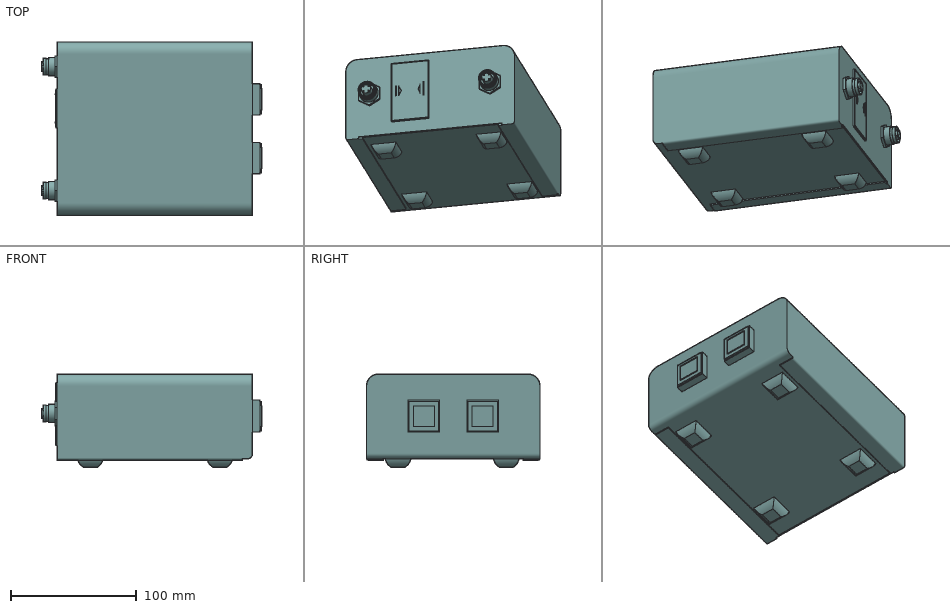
import cadquery as cq

overall_length = 176.0
overall_height = 74.5
x_min = -overall_length / 2
x_max = overall_length / 2
z_top = overall_height / 2
z_feet = -overall_height / 2

body_left = -75.3
body_right = 80.3
body_width = 138.3
top_edge_radius = 9.5
rear_bend_radius = 4.0
base_z = -30.5

flange_z = -31.5
flange_bend_radius = 1.8
flange_inner_y = 55.6
flange_right = 72.2
panel_thickness = 1.0
panel_notch_half_width = 58.8
panel_notch_z = -30.0

foot_x_positions = (-49.0, 54.2)
foot_y_positions = (42.2, -44.0)
foot_base_half_width = 10.2
foot_mid_half_width = 9.0
foot_tip_half_width = 5.3
foot_mid_z = -33.6

connector_y_positions = (49.5, -49.3)
connector_z = 5.8
nut_across_flats = 17.0
nut_face_x = -77.3
collar_diameter = 14.8
collar_face_x = -82.2
groove_diameter = 13.0
groove_end_x = -84.1
sleeve_diameter = 13.5
sleeve_face_x = -86.6
socket_diameter = 12.0
socket_depth = 5.3
insert_diameter = 8.0
key_width = 1.8
key_depth = 0.7
pin_hole_diameter = 1.2
pin_hole_depth = 1.8
pin_spacing = 4.4

plate_width = 31.0
plate_height = 50.3
plate_thickness = 1.4
plate_rim_width = 0.7
plate_rim_thickness = 1.0
plate_face_x = body_left - plate_thickness
plate_corner_radius = 1.0
plate_y = 16.2
plate_z = 5.3
mark_z = 6.0
bar_width = 0.7
bar_height = 0.5
left_bar_y = 27.5
left_bar_length = 8.1
right_bar_y = 5.0
right_bar_length = 11.5
arrow_half_height = 4.0
arrow_depth = 0.2
left_arrow_base_y = 25.3
left_arrow_tip_y = 23.2
right_arrow_base_y = 7.7
right_arrow_tip_y = 9.3

block_y_positions = (23.4, -23.4)
block_z = 3.7
block_steps = (
    (25.0, 25.7, 86.0),
    (23.5, 23.5, 87.3),
    (16.9, 16.2, x_max),
)


def box_between(x_range, y_range, z_range):
    """Axis-aligned box spanning the given coordinate ranges."""
    spans = [high - low for low, high in (x_range, y_range, z_range)]
    corner = (x_range[0], y_range[0], z_range[0])
    return cq.Workplane("XY").box(*spans, centered=False).translate(corner)


def cylinder_along_x(diameter, x_start, x_end, y, z):
    """Cylinder parallel to X between two X positions."""
    plane = cq.Workplane("YZ", origin=(x_start, y, z))
    return plane.circle(diameter / 2).extrude(x_end - x_start)


def make_enclosure():
    """Case with rounded top edges and side flanges folded under its base."""
    half_width = body_width / 2
    body = box_between((body_left, body_right), (-half_width, half_width), (flange_z, z_top))
    body = body.edges("|X and >Z").fillet(top_edge_radius)
    body = body.edges("|X and <Z").fillet(flange_bend_radius)
    panel_back = body_left + panel_thickness
    body = body.cut(
        box_between(
            (body_left, panel_back),
            (-panel_notch_half_width, panel_notch_half_width),
            (flange_z, panel_notch_z),
        )
    )
    body = body.cut(
        box_between((panel_back, body_right), (-flange_inner_y, flange_inner_y), (flange_z, base_z))
    )
    body = body.cut(
        box_between((flange_right, body_right), (-half_width, half_width), (flange_z, base_z))
    )
    lower_rear_edge = cq.selectors.NearestToPointSelector((body_right, 0, base_z))
    return body.edges(lower_rear_edge).fillet(rear_bend_radius)


def make_foot(x, y):
    """Square pad whose four sides curve inward toward a flat underside."""

    def rounded_bar(plane_name):
        return (
            cq.Workplane(plane_name)
            .moveTo(-foot_base_half_width, base_z)
            .lineTo(foot_base_half_width, base_z)
            .threePointArc((foot_mid_half_width, foot_mid_z), (foot_tip_half_width, z_feet))
            .lineTo(-foot_tip_half_width, z_feet)
            .threePointArc((-foot_mid_half_width, foot_mid_z), (-foot_base_half_width, base_z))
            .close()
            .extrude(foot_base_half_width, both=True)
        )

    return rounded_bar("XZ").intersect(rounded_bar("YZ")).translate((x, y, 0))


def make_connector(y):
    """Hexagon nut, stepped sleeve and a keyed insert with four pin holes."""
    z = connector_z
    nut = (
        cq.Workplane("YZ", origin=(body_left, y, z))
        .polygon(6, nut_across_flats, circumscribed=True)
        .extrude(nut_face_x - body_left)
    )
    collar = cylinder_along_x(collar_diameter, nut_face_x, collar_face_x, y, z)
    groove = cylinder_along_x(groove_diameter, collar_face_x, groove_end_x, y, z)
    sleeve = cylinder_along_x(sleeve_diameter, groove_end_x, sleeve_face_x, y, z)
    socket_floor = sleeve_face_x + socket_depth
    socket = cylinder_along_x(socket_diameter, sleeve_face_x, socket_floor, y, z)
    insert = cylinder_along_x(insert_diameter, socket_floor, x_min, y, z)
    insert_top = z + insert_diameter / 2
    key = box_between(
        (x_min, socket_floor),
        (y - key_width / 2, y + key_width / 2),
        (insert_top - key_depth, insert_top),
    )
    pin_holes = (
        cq.Workplane("YZ", origin=(x_min, y, z))
        .rect(pin_spacing, pin_spacing, forConstruction=True)
        .vertices()
        .circle(pin_hole_diameter / 2)
        .extrude(pin_hole_depth)
    )
    shell = nut.union(collar).union(groove).union(sleeve).cut(socket)
    return shell.union(insert.cut(key).cut(pin_holes))


def make_arrow(base_y, tip_y):
    """Triangular recess in the cover plate, pointing along Y."""
    outline = [
        (base_y, mark_z - arrow_half_height),
        (base_y, mark_z + arrow_half_height),
        (tip_y, mark_z),
    ]
    plane = cq.Workplane("YZ", origin=(plate_face_x, 0, 0))
    return plane.polyline(outline).close().extrude(arrow_depth)


def make_cover_plate():
    """Plate with a slightly smaller field standing proud of its rim."""
    center = cq.Workplane("YZ", origin=(body_left, plate_y, plate_z))
    rim = (
        center.rect(plate_width, plate_height)
        .extrude(-plate_rim_thickness)
        .edges("|X")
        .fillet(plate_corner_radius)
    )
    field = (
        center.rect(plate_width - 2 * plate_rim_width, plate_height - 2 * plate_rim_width)
        .extrude(-plate_thickness)
        .edges("|X")
        .fillet(plate_corner_radius - plate_rim_width)
    )
    plate = rim.union(field)
    for y, length in ((left_bar_y, left_bar_length), (right_bar_y, right_bar_length)):
        plane = cq.Workplane("YZ", origin=(plate_face_x, y, mark_z))
        plate = plate.union(plane.rect(bar_width, length).extrude(-bar_height))
    plate = plate.cut(make_arrow(left_arrow_base_y, left_arrow_tip_y))
    return plate.cut(make_arrow(right_arrow_base_y, right_arrow_tip_y))


def make_block(y):
    """Stack of rectangular steps, smaller away from the enclosure."""
    block = cq.Workplane("YZ")
    start_x = body_right
    for width, height, end_x in block_steps:
        plane = cq.Workplane("YZ", origin=(start_x, y, block_z))
        block = block.union(plane.rect(width, height).extrude(end_x - start_x))
        start_x = end_x
    return block


result = make_enclosure().union(make_cover_plate())
for foot_x in foot_x_positions:
    for foot_y in foot_y_positions:
        result = result.union(make_foot(foot_x, foot_y))
for connector_y in connector_y_positions:
    result = result.union(make_connector(connector_y))
for block_y in block_y_positions:
    result = result.union(make_block(block_y))